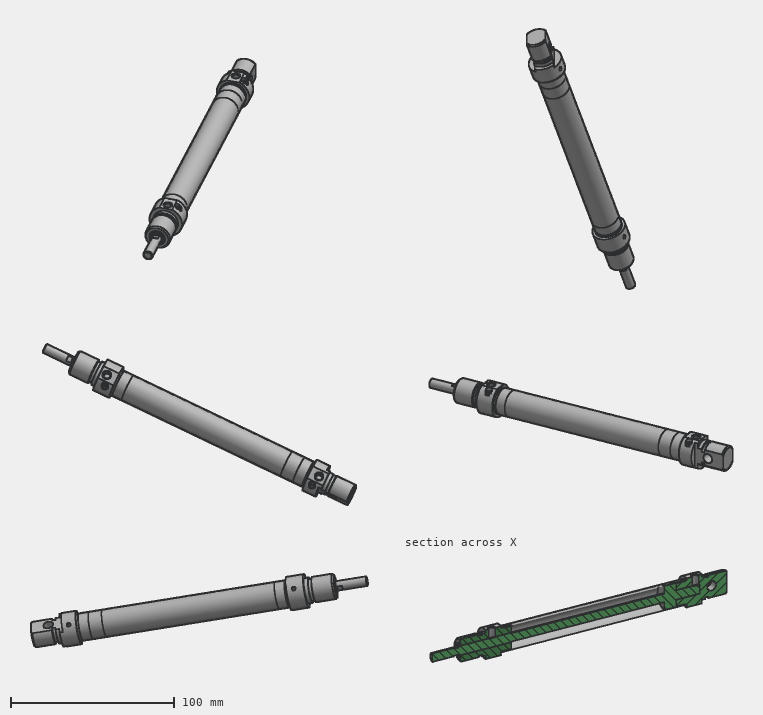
import cadquery as cq
import math


REAR_END = 104.5
ROD_TIP = -104.5

BARREL_DIA = 17.1
BORE_DIA = 16.0
PISTON_LENGTH = 8.4

COLLAR_DIA = 21.0
COLLAR_RADIUS = COLLAR_DIA / 2
COLLAR_LENGTH = 10.9
COLLAR_FLAT_DROP = 0.8
COLLAR_FLAT_Z = COLLAR_RADIUS - COLLAR_FLAT_DROP
REAR_COLLAR_FRONT = 75.9
FRONT_COLLAR_REAR = -55.5
LIP_LENGTH = 1.3
SPIGOT_LENGTH = 6.3

NECK_DIA = 15.9
GROOVE_DIA = 13.8
GROOVE_WIDTH = 2.3
GROOVE_TAPER = 0.5
SHOULDER_LENGTH = 2.5
REAR_CHAMFER = 0.8
FRONT_CHAMFER_LENGTH = 1.0
FRONT_CHAMFER_HEIGHT = 0.8
FRONT_FACE = -84.6

EYE_WIDTH = 12.0
EYE_DIA = 6.0
EYE_Y = 93.6
EYE_FLAT_END = 84.6

PORT_DIA = 4.2
PORT_MOUTH_DIA = 5.5
PORT_MOUTH_DEPTH = 0.6
REAR_PORT_Y = 82.1
FRONT_PORT_Y = -62.0

SCREW_X = 6.3
SCREW_DIA = 3.3
SCREW_TOP_Z = 7.5
SCREW_BOTTOM_Z = 4.2
SCREW_SLOT_WIDTH = 0.5
SCREW_SLOT_DEPTH = 0.6
SCREW_SEAT_DIA = 4.2
SCREW_SEAT_Z = 6.0
VENT_DIA = 2.3
VENT_DEPTH = 2.0
VENT_ANGLE = 214.0
REAR_SCREW_Y = 80.5
FRONT_SCREW_Y = -60.5

ROD_DIA = 6.0
ROD_CHAMFER_LENGTH = 0.5
ROD_END_DIA = 4.5
ROD_STUB_LENGTH = 10.5
ROD_FLAT_WIDTH = 5.0
ROD_FLAT_FRONT = -89.0
ROD_FLAT_LENGTH = 3.1
WIPER_LENGTH = 0.6
WIPER_ROOT_DIA = 8.0
WIPER_TIP_DIA = 6.5
MOUTH_DIA = 10.2
MOUTH_FLOOR_DIA = 8.8
MOUTH_DEPTH = 0.5

WIPER_TIP = FRONT_FACE - WIPER_LENGTH
BARREL_FRONT = FRONT_COLLAR_REAR + LIP_LENGTH
BARREL_REAR = REAR_COLLAR_FRONT - LIP_LENGTH
FRONT_SPIGOT_END = BARREL_FRONT + SPIGOT_LENGTH
REAR_SPIGOT_END = BARREL_REAR - SPIGOT_LENGTH
STUB_END = BARREL_REAR + ROD_STUB_LENGTH


def revolved(points):
    """Solid of revolution about Y from (radius, y) points."""
    return cq.Workplane("XY").polyline(points).close().revolve(360, (0, 0, 0), (0, 1, 0))


def axial_cylinder(diameter, y_start, y_end):
    """Cylinder on the Y axis between two stations."""
    return revolved([(0, y_start), (diameter / 2, y_start), (diameter / 2, y_end), (0, y_end)])


def upright_cylinder(diameter, x, y, z_bottom, z_top):
    """Cylinder parallel to Z."""
    return cq.Workplane("XY", origin=(x, y, z_bottom)).circle(diameter / 2).extrude(z_top - z_bottom)


def radial_plane(angle, radius, y):
    """Plane at a radius from the axis, facing outward at an angle from +X toward +Z."""
    direction = (math.cos(math.radians(angle)), 0, math.sin(math.radians(angle)))
    origin = (radius * direction[0], y, radius * direction[2])
    return cq.Plane(origin=origin, xDir=(0, 1, 0), normal=direction)


def make_collar(y_front):
    """Collar disc with a flat on top for the port."""
    collar = axial_cylinder(COLLAR_DIA, y_front, y_front + COLLAR_LENGTH)
    above_flat = cq.Workplane("XY").box(COLLAR_DIA, COLLAR_LENGTH, COLLAR_DIA, centered=(True, False, False))
    return collar.cut(above_flat.translate((0, y_front, COLLAR_FLAT_Z)))


def drill_collar(cap, port_y, screw_y):
    """Cut the port, the screw seat and the vent hole into a cap."""
    port = (
        cq.Workplane("XZ", origin=(0, port_y, 0))
        .polyline([
            (0, 0),
            (PORT_DIA / 2, 0),
            (PORT_DIA / 2, COLLAR_FLAT_Z - PORT_MOUTH_DEPTH),
            (PORT_MOUTH_DIA / 2, COLLAR_FLAT_Z),
            (0, COLLAR_FLAT_Z),
        ])
        .close()
        .revolve(360, (0, 0, 0), (0, 1, 0))
    )
    screw_hole = upright_cylinder(SCREW_DIA, SCREW_X, screw_y, SCREW_BOTTOM_Z, SCREW_TOP_Z)
    screw_seat = upright_cylinder(SCREW_SEAT_DIA, SCREW_X, screw_y, SCREW_SEAT_Z, COLLAR_RADIUS)
    vent_plane = radial_plane(VENT_ANGLE, COLLAR_RADIUS, screw_y)
    vent = cq.Workplane(vent_plane).circle(VENT_DIA / 2).extrude(VENT_DEPTH, both=True)
    return cap.cut(port).cut(screw_hole).cut(screw_seat).cut(vent)


def make_screw(screw_y):
    """Upright slotted cushion screw, standing in its seat."""
    screw = upright_cylinder(SCREW_DIA, SCREW_X, screw_y, SCREW_BOTTOM_Z, SCREW_TOP_Z)
    slot = (
        cq.Workplane("XY", origin=(SCREW_X, screw_y, SCREW_TOP_Z))
        .rect(SCREW_SLOT_WIDTH, SCREW_DIA)
        .extrude(-SCREW_SLOT_DEPTH)
    )
    return screw.cut(slot)


def make_rear_cap():
    """Rear cap: collar, grooved neck and flat-sided swivel eye."""
    collar_rear = REAR_COLLAR_FRONT + COLLAR_LENGTH
    groove_front = collar_rear + SHOULDER_LENGTH
    groove_rear = groove_front + GROOVE_WIDTH
    neck = revolved([
        (0, REAR_SPIGOT_END),
        (BORE_DIA / 2, REAR_SPIGOT_END),
        (BORE_DIA / 2, BARREL_REAR),
        (BARREL_DIA / 2, BARREL_REAR),
        (BARREL_DIA / 2, REAR_COLLAR_FRONT),
        (NECK_DIA / 2, REAR_COLLAR_FRONT),
        (NECK_DIA / 2, groove_front),
        (GROOVE_DIA / 2, groove_front),
        (GROOVE_DIA / 2, groove_rear - GROOVE_TAPER),
        (NECK_DIA / 2, groove_rear),
        (NECK_DIA / 2, REAR_END - REAR_CHAMFER),
        (NECK_DIA / 2 - REAR_CHAMFER, REAR_END),
        (0, REAR_END),
    ])
    cap = make_collar(REAR_COLLAR_FRONT).union(neck)
    for side in (-1, 1):
        beside_eye = cq.Workplane("XY").box(
            COLLAR_DIA, REAR_END - EYE_FLAT_END, COLLAR_DIA, centered=(True, False, True)
        )
        cap = cap.cut(beside_eye.translate((side * (EYE_WIDTH + COLLAR_DIA) / 2, EYE_FLAT_END, 0)))
    eye = cq.Workplane("YZ").center(EYE_Y, 0).circle(EYE_DIA / 2).extrude(COLLAR_DIA, both=True)
    cap = drill_collar(cap.cut(eye), REAR_PORT_Y, REAR_SCREW_Y)
    stub_hole = axial_cylinder(ROD_DIA, REAR_SPIGOT_END, STUB_END)
    return cap.cut(stub_hole)


def make_front_cap():
    """Front cap: collar and grooved neck, with a wiper lip round the rod."""
    collar_front = FRONT_COLLAR_REAR - COLLAR_LENGTH
    groove_rear = collar_front - SHOULDER_LENGTH
    groove_front = groove_rear - GROOVE_WIDTH
    neck = revolved([
        (0, FRONT_SPIGOT_END),
        (BORE_DIA / 2, FRONT_SPIGOT_END),
        (BORE_DIA / 2, BARREL_FRONT),
        (BARREL_DIA / 2, BARREL_FRONT),
        (BARREL_DIA / 2, FRONT_COLLAR_REAR),
        (NECK_DIA / 2, FRONT_COLLAR_REAR),
        (NECK_DIA / 2, groove_rear),
        (GROOVE_DIA / 2, groove_rear),
        (GROOVE_DIA / 2, groove_front + GROOVE_TAPER),
        (NECK_DIA / 2, groove_front),
        (NECK_DIA / 2, FRONT_FACE + FRONT_CHAMFER_LENGTH),
        (NECK_DIA / 2 - FRONT_CHAMFER_HEIGHT, FRONT_FACE),
        (MOUTH_DIA / 2, FRONT_FACE),
        (MOUTH_FLOOR_DIA / 2, FRONT_FACE + MOUTH_DEPTH),
        (WIPER_ROOT_DIA / 2, FRONT_FACE + MOUTH_DEPTH),
        (WIPER_TIP_DIA / 2, FRONT_FACE),
        (WIPER_TIP_DIA / 2, WIPER_TIP),
        (0, WIPER_TIP),
    ])
    cap = make_collar(collar_front).union(neck)
    cap = drill_collar(cap, FRONT_PORT_Y, FRONT_SCREW_Y)
    rod_hole = axial_cylinder(ROD_DIA, WIPER_TIP, FRONT_SPIGOT_END)
    return cap.cut(rod_hole)


def make_barrel():
    """Tube between the lips of the two caps."""
    bore = axial_cylinder(BORE_DIA, BARREL_FRONT, BARREL_REAR)
    return axial_cylinder(BARREL_DIA, BARREL_FRONT, BARREL_REAR).cut(bore)


def make_rod():
    """Rod with its piston at the rear, a stub behind it and wrench flats in front."""
    rod = revolved([
        (0, ROD_TIP),
        (ROD_END_DIA / 2, ROD_TIP),
        (ROD_DIA / 2, ROD_TIP + ROD_CHAMFER_LENGTH),
        (ROD_DIA / 2, STUB_END),
        (0, STUB_END),
    ])
    rod = rod.union(axial_cylinder(BORE_DIA, REAR_SPIGOT_END - PISTON_LENGTH, REAR_SPIGOT_END))
    for side in (-1, 1):
        flat = cq.Workplane("XY").box(ROD_DIA, ROD_FLAT_LENGTH, ROD_DIA, centered=(True, False, True))
        z_offset = side * (ROD_FLAT_WIDTH + ROD_DIA) / 2
        rod = rod.cut(flat.translate((0, ROD_FLAT_FRONT, z_offset)))
    return rod


rear_cap = make_rear_cap()
front_cap = make_front_cap()
barrel = make_barrel()
rod = make_rod()
screws = [make_screw(screw_y) for screw_y in (REAR_SCREW_Y, FRONT_SCREW_Y)]

result = cq.Compound.makeCompound(
    [rear_cap.val(), front_cap.val(), barrel.val(), rod.val(), *[screw.val() for screw in screws]]
)